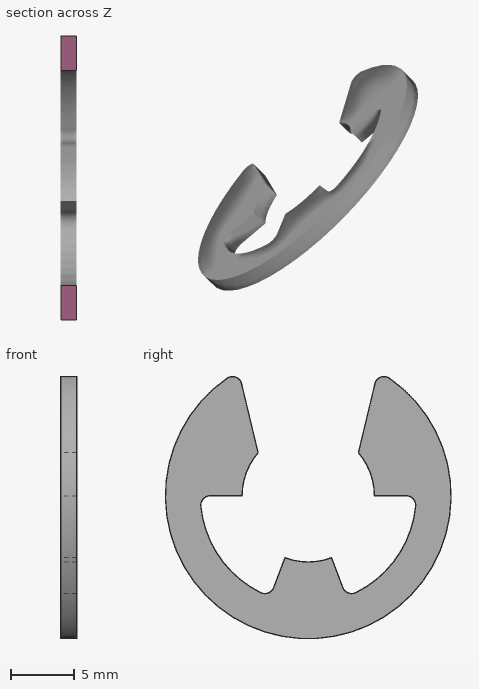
import cadquery as cq
import math

thickness = 1.3
outer_radius = 11.3
bore_radius = 5.23
pocket_radius = 8.53
corner_radius = 0.75

tooth_half_angle = 20.7

mouth_half_width = 3.95
mouth_flare_angle = 13.5


def extrude_profile(profile):
    return profile.extrude(thickness / 2, both=True)


def polar(radius, angle):
    angle = math.radians(angle)
    return radius * math.cos(angle), radius * math.sin(angle)


def make_pocket():
    """Sector between the +Y arm and the tooth, with rounded outer corners."""
    end_angle = tooth_half_angle - 90
    profile = (
        cq.Workplane("YZ")
        .lineTo(*polar(pocket_radius, 0))
        .threePointArc(polar(pocket_radius, end_angle / 2), polar(pocket_radius, end_angle))
        .close()
    )
    pocket = extrude_profile(profile)
    axis_edge = cq.selectors.NearestToPointSelector((0, 0, 0))
    outer_corners = cq.StringSyntaxSelector("|X") - axis_edge
    return pocket.edges(outer_corners).fillet(corner_radius)


def make_mouth():
    """Opening that widens from the bore to beyond the outer rim."""
    bottom = math.sqrt(bore_radius**2 - mouth_half_width**2)
    top = outer_radius
    top_half_width = mouth_half_width + (top - bottom) * math.tan(math.radians(mouth_flare_angle))
    profile = cq.Workplane("YZ").polyline([
        (-mouth_half_width, bottom),
        (mouth_half_width, bottom),
        (top_half_width, top),
        (-top_half_width, top),
    ]).close()
    return extrude_profile(profile)


disc = extrude_profile(cq.Workplane("YZ").circle(outer_radius))
bore = extrude_profile(cq.Workplane("YZ").circle(bore_radius))

ring = disc.cut(bore).cut(make_mouth())
ring = ring.edges("|X").edges(">Z").fillet(corner_radius)

pocket = make_pocket()
result = ring.cut(pocket).cut(pocket.mirror("XZ"))